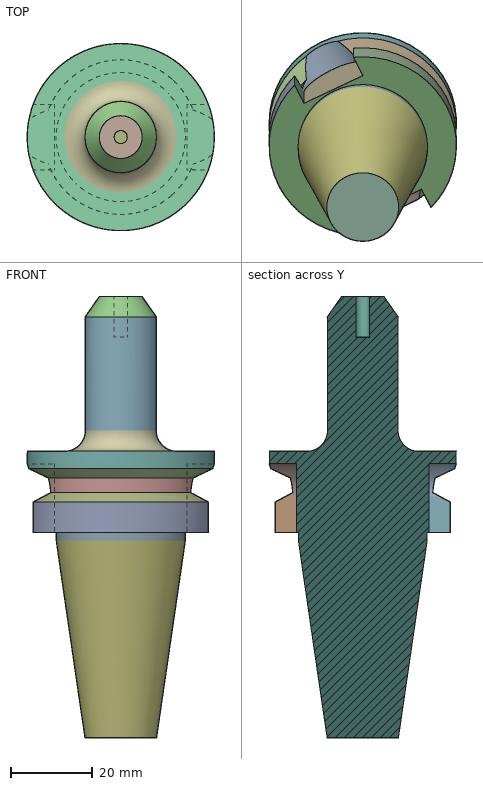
import cadquery as cq
import math

gauge_diameter = 31.75
taper_ratio = 7 / 24
taper_length = 48.4

flange_diameter = 46.0
flange_bottom = 2.0
flange_top = 22.0
groove_center = 13.6
groove_mouth_width = 8.2
groove_root_diameter = 38.0
groove_flank_angle = 30.0

stem_top = 60.0
stem_diameter = 17.5
root_fillet_radius = 5.0
tip_diameter = 10.5
tip_length = 5.0

hole_diameter = 3.2
hole_depth = 10.0

slot_width = 16.1
slot_top = 18.9
slot_floor_distance = 16.3

gauge_radius = gauge_diameter / 2
small_end_radius = gauge_radius - taper_length * taper_ratio / 2
flange_radius = flange_diameter / 2
groove_root_radius = groove_root_diameter / 2
stem_radius = stem_diameter / 2
tip_radius = tip_diameter / 2


def revolved_body():
    """Taper, flange, groove and stem as one turned profile."""
    flank_height = (flange_radius - groove_root_radius) * math.tan(math.radians(groove_flank_angle))
    groove_low = groove_center - groove_mouth_width / 2
    groove_high = groove_center + groove_mouth_width / 2
    fillet_mid_offset = root_fillet_radius * (1 - math.sqrt(0.5))
    return (
        cq.Workplane("XZ")
        .moveTo(0, -taper_length)
        .lineTo(small_end_radius, -taper_length)
        .lineTo(gauge_radius, 0)
        .lineTo(gauge_radius, flange_bottom)
        .lineTo(flange_radius, flange_bottom)
        .lineTo(flange_radius, groove_low)
        .lineTo(groove_root_radius, groove_low + flank_height)
        .lineTo(groove_root_radius, groove_high - flank_height)
        .lineTo(flange_radius, groove_high)
        .lineTo(flange_radius, flange_top)
        .lineTo(stem_radius + root_fillet_radius, flange_top)
        .threePointArc(
            (stem_radius + fillet_mid_offset, flange_top + fillet_mid_offset),
            (stem_radius, flange_top + root_fillet_radius),
        )
        .lineTo(stem_radius, stem_top - tip_length)
        .lineTo(tip_radius, stem_top)
        .lineTo(0, stem_top)
        .close()
        .revolve(360, (0, 0, 0), (0, 1, 0))
    )


def drive_slot(side):
    """Round-topped cutter for one drive slot; side is -1 for -X and +1 for +X."""
    half_width = slot_width / 2
    arc_center = slot_top - half_width
    return (
        cq.Workplane("YZ", origin=(side * slot_floor_distance, 0, 0))
        .moveTo(-half_width, flange_bottom)
        .lineTo(half_width, flange_bottom)
        .lineTo(half_width, arc_center)
        .threePointArc((0, slot_top), (-half_width, arc_center))
        .close()
        .extrude(side * (flange_radius - slot_floor_distance))
    )


def center_hole():
    """Blind hole drilled down into the tip."""
    return (
        cq.Workplane("XY", origin=(0, 0, stem_top))
        .circle(hole_diameter / 2)
        .extrude(-hole_depth)
    )


result = revolved_body()
for side in (-1, 1):
    result = result.cut(drive_slot(side))
result = result.cut(center_hole())